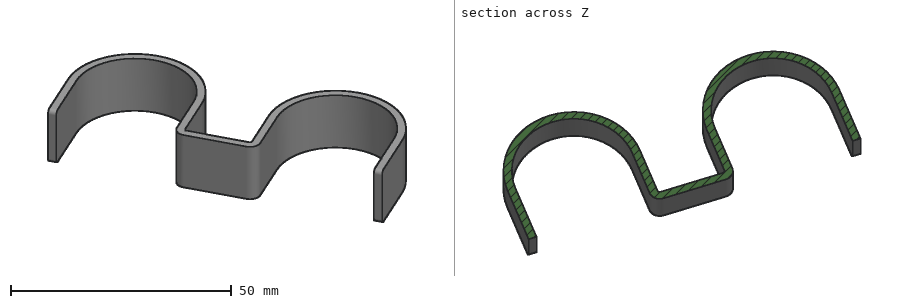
import cadquery as cq

overall_length = 80.0
strip_thickness = 2.0
strip_width = 14.0
hoop_outer_radius = 16.0
leg_length = 14.0
inner_bend_radius = 0.5
tip_corner_radius = 1.0

hoop_inner_radius = hoop_outer_radius - strip_thickness
hoop_center_x = overall_length / 2 - hoop_outer_radius
outer_bend_radius = inner_bend_radius + strip_thickness
bridge_length = 2 * (hoop_center_x - hoop_inner_radius)


def box_between(x_min, x_max, y_min, y_max):
    """Full-width block spanning the given X and Y limits, with its base at Z = 0."""
    return (
        cq.Workplane("XY")
        .box(x_max - x_min, y_max - y_min, strip_width, centered=False)
        .translate((x_min, y_min, 0))
    )


def hoop(center_x):
    """Half-round hoop with a straight leg on each side."""
    ring = (
        cq.Workplane("XY")
        .center(center_x, 0)
        .circle(hoop_outer_radius)
        .circle(hoop_inner_radius)
        .extrude(strip_width)
    )
    left, right = center_x - hoop_outer_radius, center_x + hoop_outer_radius
    upper_half = box_between(left, right, 0, hoop_outer_radius)
    left_leg = box_between(left, left + strip_thickness, -leg_length, 0)
    right_leg = box_between(right - strip_thickness, right, -leg_length, 0)
    return ring.intersect(upper_half).union(left_leg).union(right_leg)


def bridge():
    """Straight strip joining the two inner legs at their lower ends."""
    half_length = bridge_length / 2
    return box_between(-half_length, half_length, -leg_length, -leg_length + strip_thickness)


def round_bends(body):
    """Round both bridge bends with concentric inside and outside radii."""
    reach = 0.1
    outer_x = bridge_length / 2
    inner_x = outer_x - strip_thickness
    bends = (
        (outer_x, -leg_length, outer_bend_radius),
        (inner_x, -leg_length + strip_thickness, inner_bend_radius),
    )
    for corner_x, corner_y, radius in bends:
        for side in (-1, 1):
            x = side * corner_x
            selector = cq.selectors.BoxSelector(
                (x - reach, corner_y - reach, 0),
                (x + reach, corner_y + reach, strip_width),
            )
            body = body.edges("|Z").edges(selector).fillet(radius)
    return body


def round_tips(body):
    """Round the upper and lower corners at the free end of each outer leg."""
    reach = 0.1
    for side in (-1, 1):
        x = side * (overall_length - strip_thickness) / 2
        selector = cq.selectors.BoxSelector(
            (x - reach, -leg_length - reach, -reach),
            (x + reach, -leg_length + reach, strip_width + reach),
        )
        body = body.edges("|X").edges(selector).fillet(tip_corner_radius)
    return body


clip = hoop(-hoop_center_x).union(hoop(hoop_center_x)).union(bridge())
result = round_tips(round_bends(clip))